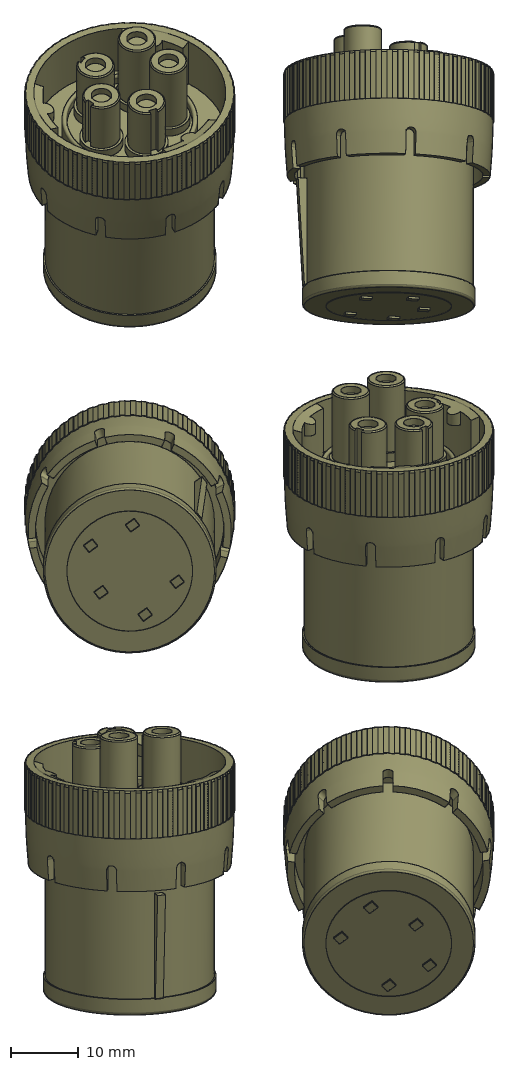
import cadquery as cq
import math

TOTAL_HEIGHT = 41.35
MARK_HEIGHT = 0.35
BASE_DISC_HEIGHT = 0.12
COLLAR_BOTTOM = MARK_HEIGHT + BASE_DISC_HEIGHT
COLLAR_TOP = 2.95
SKIRT_BOTTOM = 20.13
GAP_TOP = 24.8
CAVITY_FLOOR = 27.35
KNURL_BOTTOM = 28.35
INSERT_FLOOR = 29.25
INSERT_TOP = 30.65
NUT_TOP = 35.7
SHORT_PIN_TOP = 38.73

BODY_RADIUS = 12.5
COLLAR_RADIUS = 12.75
COLLAR_FILLET = 0.37
BASE_DISC_RADIUS = 9.25

RIB_TOP = 19.0
RIB_TOP_RADIUS = 13.8
RIB_BOTTOM_RADIUS = 12.85
RIB_WIDTH = 1.25

KNURL_DIAMETER = 30.95
KNURL_RADIUS = KNURL_DIAMETER / 2
KNURL_ROOT_RADIUS = 15.3
KNURL_COUNT = 60
KNURL_CHAMFER_WIDTH = 0.12
KNURL_CHAMFER_HEIGHT = 0.35
CAVITY_RADIUS = 14.15
SKIRT_TOP_RADIUS = 15.37
SKIRT_MIDDLE_RADIUS = 15.25
SKIRT_BOTTOM_RADIUS = 14.95
SKIRT_INNER_RADIUS = 13.9
SLOT_COUNT = 9
SLOT_WIDTH = 1.5
SLOT_TOP = 24.1

KEY_COUNT = 3
KEY_INNER_RADIUS = 12.8
KEY_HALF_ANGLE = 21.2
KEY_SLOPE_ANGLE = 18.0
NUB_RADIUS = 1.2
NUB_CENTRE_RADIUS = 12.75
NUB_LENGTH = 2.55

INSERT_RADIUS = 10.0
INSERT_WALL = 0.75
PIN_COUNT = 5
PIN_CIRCLE_RADIUS = 5.75
PIN_RADIUS = 2.75
PIN_CHAMFER = 0.2
PIN_COLLAR_RADIUS = 3.2
PIN_BORE_RADIUS = 1.5
PIN_BORE_DEPTH = 1.07
PIN_NOTCH_WIDTH = 1.15
PIN_NOTCH_DEPTH = 0.65
FIRST_PIN_ANGLE = -90.0
LONG_PINS = (2, 3)

MARK_LENGTH = 1.6
MARK_WIDTH = 1.32
MARK_CENTRES = [(0, -5.3), (6.65, -2.2), (-6.65, -2.2), (5.45, 4.63), (-5.45, 4.63)]

OVERLAP = 0.2


def cylinder(radius, bottom, top, centre=(0, 0)):
    return cq.Workplane("XY", origin=(*centre, bottom)).circle(radius).extrude(top - bottom)


def polar(radius, angle):
    return (radius * math.cos(math.radians(angle)), radius * math.sin(math.radians(angle)))


def rotated(shape, angle):
    return shape.rotate((0, 0, 0), (0, 0, 1), angle)


def make_body():
    body = cylinder(BODY_RADIUS, COLLAR_BOTTOM, CAVITY_FLOOR)
    collar = cylinder(COLLAR_RADIUS, COLLAR_BOTTOM, COLLAR_TOP)
    collar = collar.faces("<Z").edges().fillet(COLLAR_FILLET)
    base_disc = cylinder(BASE_DISC_RADIUS, MARK_HEIGHT, COLLAR_BOTTOM + OVERLAP)
    marks = (
        cq.Workplane("XY")
        .pushPoints(MARK_CENTRES)
        .rect(MARK_WIDTH, MARK_LENGTH)
        .extrude(MARK_HEIGHT + BASE_DISC_HEIGHT + OVERLAP)
    )
    return body.union(collar).union(base_disc).union(marks)


def make_rib():
    inner = BODY_RADIUS - 2 * OVERLAP
    profile = [
        (inner, COLLAR_TOP - OVERLAP),
        (RIB_BOTTOM_RADIUS - OVERLAP, COLLAR_TOP - OVERLAP),
        (RIB_BOTTOM_RADIUS, COLLAR_TOP),
        (RIB_TOP_RADIUS, RIB_TOP),
        (inner, RIB_TOP),
    ]
    return cq.Workplane("YZ").polyline(profile).close().extrude(RIB_WIDTH / 2, both=True)


def make_nut():
    """Nut with a solid web between the skirt gap and the pin cavity."""
    skirt_middle = (SKIRT_BOTTOM + KNURL_BOTTOM) / 2
    nut = (
        cq.Workplane("XZ")
        .moveTo(0, GAP_TOP)
        .lineTo(SKIRT_INNER_RADIUS, GAP_TOP)
        .lineTo(SKIRT_INNER_RADIUS, SKIRT_BOTTOM)
        .lineTo(SKIRT_BOTTOM_RADIUS, SKIRT_BOTTOM)
        .threePointArc((SKIRT_MIDDLE_RADIUS, skirt_middle), (SKIRT_TOP_RADIUS, KNURL_BOTTOM))
        .lineTo(KNURL_RADIUS, KNURL_BOTTOM)
        .lineTo(KNURL_RADIUS, NUT_TOP - KNURL_CHAMFER_HEIGHT)
        .lineTo(KNURL_RADIUS - KNURL_CHAMFER_WIDTH, NUT_TOP)
        .lineTo(CAVITY_RADIUS, NUT_TOP)
        .lineTo(CAVITY_RADIUS, CAVITY_FLOOR)
        .lineTo(0, CAVITY_FLOOR)
        .close()
        .revolve(360, (0, 0), (0, 1))
    )
    return nut.cut(make_knurl_grooves()).cut(make_skirt_slots())


def make_knurl_grooves():
    groove_depth = 2 * (KNURL_RADIUS - KNURL_ROOT_RADIUS)
    groove_width = math.pi * KNURL_RADIUS / KNURL_COUNT
    return (
        cq.Workplane("XY", origin=(0, 0, KNURL_BOTTOM))
        .polarArray(KNURL_ROOT_RADIUS + groove_depth / 2, 0, 360, KNURL_COUNT)
        .rect(groove_depth, groove_width)
        .extrude(NUT_TOP - KNURL_BOTTOM)
    )


def make_skirt_slots():
    """Round-topped slots, open at the lower edge of the skirt."""
    half_width = SLOT_WIDTH / 2
    arch_start = SLOT_TOP - half_width
    slot = (
        cq.Workplane("YZ", origin=(SKIRT_INNER_RADIUS - OVERLAP, 0, 0))
        .moveTo(-half_width, SKIRT_BOTTOM)
        .lineTo(-half_width, arch_start)
        .threePointArc((0, SLOT_TOP), (half_width, arch_start))
        .lineTo(half_width, SKIRT_BOTTOM)
        .close()
        .extrude(KNURL_RADIUS - SKIRT_INNER_RADIUS)
    )
    slots = cq.Workplane("XY")
    for index in range(SLOT_COUNT):
        slots = slots.add(rotated(slot, 180 + index * 360 / SLOT_COUNT))
    return slots.combine()


def make_key():
    """Key along the cavity wall with a short round nub, its top sloping inwards."""
    outer_radius = CAVITY_RADIUS + OVERLAP
    bottom = CAVITY_FLOOR - OVERLAP
    key = (
        cq.Workplane("XY", origin=(0, 0, bottom))
        .moveTo(*polar(KEY_INNER_RADIUS, -KEY_HALF_ANGLE))
        .lineTo(*polar(outer_radius, -KEY_HALF_ANGLE))
        .threePointArc((outer_radius, 0), polar(outer_radius, KEY_HALF_ANGLE))
        .lineTo(*polar(KEY_INNER_RADIUS, KEY_HALF_ANGLE))
        .threePointArc((KEY_INNER_RADIUS, 0), polar(KEY_INNER_RADIUS, -KEY_HALF_ANGLE))
        .close()
        .extrude(NUT_TOP - bottom)
    )
    nub = cylinder(NUB_RADIUS, NUT_TOP - NUB_LENGTH, NUT_TOP, (NUB_CENTRE_RADIUS, 0))
    cone_depth = CAVITY_RADIUS * math.tan(math.radians(KEY_SLOPE_ANGLE))
    cone_profile = [(0, NUT_TOP), (CAVITY_RADIUS, NUT_TOP), (0, NUT_TOP - cone_depth)]
    cone = cq.Workplane("XZ").polyline(cone_profile).close().revolve(360, (0, 0), (0, 1))
    return key.union(nub).cut(cone)


def make_insert():
    """Round insert with a raised half-round rim."""
    insert = cylinder(INSERT_RADIUS, CAVITY_FLOOR - OVERLAP, INSERT_FLOOR)
    half_wall = INSERT_WALL / 2
    inner_radius = INSERT_RADIUS - INSERT_WALL
    rim = (
        cq.Workplane("XZ")
        .moveTo(inner_radius, INSERT_FLOOR - OVERLAP)
        .lineTo(inner_radius, INSERT_TOP - half_wall)
        .threePointArc(
            (INSERT_RADIUS - half_wall, INSERT_TOP), (INSERT_RADIUS, INSERT_TOP - half_wall)
        )
        .lineTo(INSERT_RADIUS, INSERT_FLOOR - OVERLAP)
        .close()
        .revolve(360, (0, 0), (0, 1))
    )
    return insert.union(rim)


def make_pin(top, notched):
    """Contact pin on the +X axis; the notch runs down the side facing outwards."""
    centre = (PIN_CIRCLE_RADIUS, 0)
    pin = cylinder(PIN_RADIUS, INSERT_FLOOR - OVERLAP, top, centre)
    pin = pin.faces(">Z").edges().chamfer(PIN_CHAMFER)
    pin = pin.cut(cylinder(PIN_BORE_RADIUS, top - PIN_BORE_DEPTH, top, centre))
    if notched:
        notch_centre = PIN_CIRCLE_RADIUS + PIN_RADIUS
        notch = (
            cq.Workplane("XY", origin=(notch_centre, 0, INSERT_TOP))
            .rect(2 * PIN_NOTCH_DEPTH, PIN_NOTCH_WIDTH)
            .extrude(top - INSERT_TOP)
        )
        pin = pin.cut(notch)
    collar = cylinder(PIN_COLLAR_RADIUS, INSERT_FLOOR - OVERLAP, INSERT_TOP, centre)
    return pin.union(collar.cut(cylinder(PIN_RADIUS - OVERLAP, INSERT_FLOOR, INSERT_TOP, centre)))


result = make_body().union(make_rib()).union(make_nut()).union(make_insert())

for index in range(KEY_COUNT):
    result = result.union(rotated(make_key(), index * 360 / KEY_COUNT))

for index in range(PIN_COUNT):
    is_long = index in LONG_PINS
    pin_top = TOTAL_HEIGHT if is_long else SHORT_PIN_TOP
    pin_angle = FIRST_PIN_ANGLE + index * 360 / PIN_COUNT
    result = result.union(rotated(make_pin(pin_top, not is_long), pin_angle))